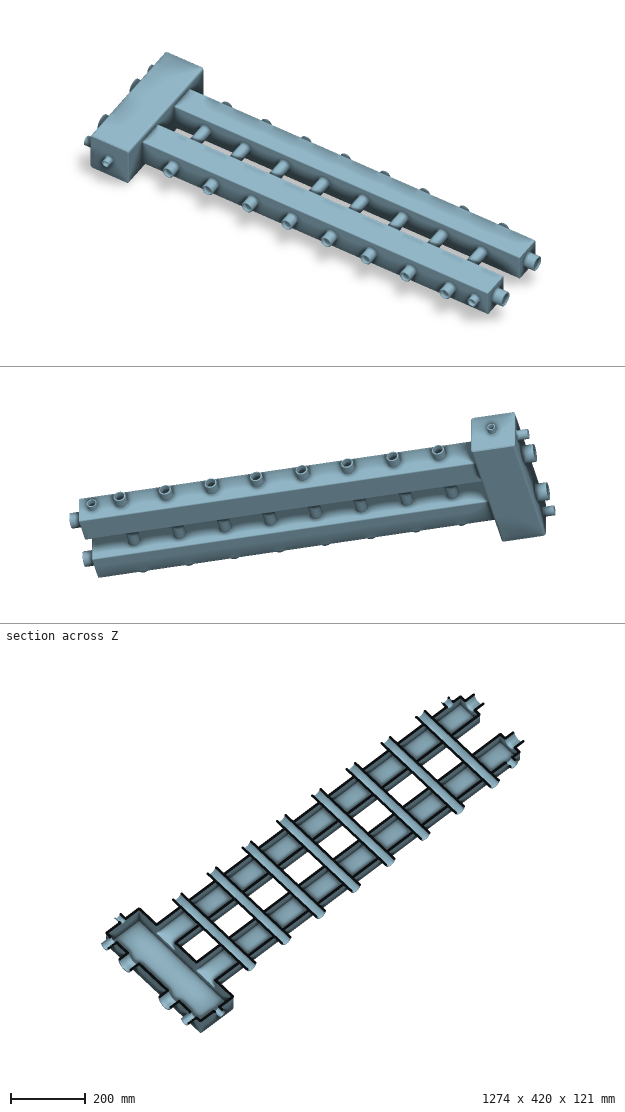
import cadquery as cq

TOTAL_LENGTH = 1274.0
TOTAL_WIDTH = 420.0

BOX_SIZE = 121.0
BOX_LENGTH = 381.0
BOX_EDGE_RADIUS = 8.0
BOX_END_BEVEL = 3.0
BOX_WALL = 4.0

BAR_SIZE = 80.0
BAR_SPACING = 160.0
BAR_EDGE_RADIUS = 4.0
BAR_END_BEVEL = 1.0
BAR_WALL = 4.0

WELD_LEG = 3.0

TIP_BEVEL = 1.0

PIPE_COUNT = 8
PIPE_PITCH = 125.0
PIPE_OD = 33.0
PIPE_ID = 27.0
PIPE_STUB = 30.0
FIRST_PIPE_OFFSET = 100.0

MAIN_OD = 48.0
MAIN_ID = 42.0
MAIN_STUB = 30.0
TAP_OD = 27.0
TAP_ID = 22.0
BOX_TAP_SPACING = 321.0
END_OD = 42.0
END_ID = 36.0
END_STUB = 30.0
BAR_TAP_STUB = 19.0
BAR_TAP_INSET = 40.0
VENT_OD = 22.0
VENT_ID = 17.0
VENT_STUB = (TOTAL_WIDTH - BOX_LENGTH) / 2

BOX_LEFT = -TOTAL_LENGTH / 2 + MAIN_STUB
BOX_CENTER = BOX_LEFT + BOX_SIZE / 2
BOX_RIGHT = BOX_LEFT + BOX_SIZE
BAR_END = TOTAL_LENGTH / 2 - END_STUB
BAR_CENTERS = (-BAR_SPACING / 2, BAR_SPACING / 2)
BAR_OUTER_Y = (BAR_SPACING + BAR_SIZE) / 2
BAR_INNER_Y = (BAR_SPACING - BAR_SIZE) / 2
BAR_TAP_X = BAR_END - BAR_TAP_INSET
PIPE_XS = [BOX_RIGHT + FIRST_PIPE_OFFSET + i * PIPE_PITCH for i in range(PIPE_COUNT)]


def rod(start, direction, diameter, length):
    """Solid cylinder from a start point along a direction."""
    return cq.Workplane(
        cq.Solid.makeCylinder(diameter / 2, length, cq.Vector(*start), cq.Vector(*direction))
    )


def weld(foot, direction, diameter):
    """Conical weld bead around a stub of the given diameter, standing on a wall."""
    radius = diameter / 2
    return cq.Workplane(
        cq.Solid.makeCone(radius + WELD_LEG, radius, WELD_LEG, cq.Vector(*foot), cq.Vector(*direction))
    )


def header_box():
    box = cq.Workplane("XY").box(BOX_SIZE, BOX_LENGTH, BOX_SIZE)
    box = box.edges("|Y").fillet(BOX_EDGE_RADIUS)
    box = box.faces("<Y or >Y").edges().chamfer(BOX_END_BEVEL)
    return box.translate((BOX_CENTER, 0, 0))


def header_cavity():
    inner = BOX_SIZE - 2 * BOX_WALL
    return cq.Workplane("XY").box(inner, BOX_LENGTH - 2 * BOX_WALL, inner).translate((BOX_CENTER, 0, 0))


def collector_bar(y):
    length = BAR_END - BOX_RIGHT + BOX_WALL
    bar = cq.Workplane("XY").box(length, BAR_SIZE, BAR_SIZE)
    bar = bar.edges("|X").fillet(BAR_EDGE_RADIUS)
    bar = bar.faces(">X").edges().chamfer(BAR_END_BEVEL)
    return bar.translate((BAR_END - length / 2, y, 0))


def collector_cavity(y):
    start = BOX_RIGHT - 2 * BOX_WALL
    length = BAR_END - BAR_WALL - start
    inner = BAR_SIZE - 2 * BAR_WALL
    return cq.Workplane("XY").box(length, inner, inner).translate((start + length / 2, y, 0))


def add_stub(body, foot, direction, outer, bore, length, wall, tip_bevel=0):
    """Weld a pipe stub onto a wall and bore it through that wall."""
    root = tuple(p - wall * d for p, d in zip(foot, direction))
    behind_wall = tuple(p - 2 * wall * d for p, d in zip(foot, direction))
    stub = rod(root, direction, outer, length + wall)
    if tip_bevel:
        tip = cq.DirectionMinMaxSelector(cq.Vector(*direction), True)
        stub = stub.faces(tip).edges().chamfer(tip_bevel)
    body = body.union(stub).union(weld(foot, direction, outer))
    return body.cut(rod(behind_wall, direction, bore, length + 2 * wall))


def add_cross_pipe(body, x):
    """Run an open pipe through both bars and weld it wherever it leaves a bar."""
    length = 2 * (BAR_OUTER_Y + PIPE_STUB)
    start = (x, -length / 2, 0)
    along = (0, 1, 0)
    pipe = rod(start, along, PIPE_OD, length)
    body = body.union(pipe.faces("<Y or >Y").edges().chamfer(TIP_BEVEL))
    for side in (-1, 1):
        body = body.union(weld((x, side * BAR_OUTER_Y, 0), (0, side, 0), PIPE_OD))
        body = body.union(weld((x, side * BAR_INNER_Y, 0), (0, -side, 0), PIPE_OD))
    return body.cut(rod(start, along, PIPE_ID, length))


manifold = header_box()
for bar_y in BAR_CENTERS:
    manifold = manifold.union(collector_bar(bar_y))
manifold = manifold.cut(header_cavity())
for bar_y in BAR_CENTERS:
    manifold = manifold.cut(collector_cavity(bar_y))

left = (-1, 0, 0)
right = (1, 0, 0)
for side in (-1, 1):
    outward = (0, side, 0)
    bar_y = side * BAR_SPACING / 2
    main_foot = (BOX_LEFT, bar_y, 0)
    box_tap_foot = (BOX_LEFT, side * BOX_TAP_SPACING / 2, 0)
    vent_foot = (BOX_CENTER, side * BOX_LENGTH / 2, 0)
    end_foot = (BAR_END, bar_y, 0)
    bar_tap_foot = (BAR_TAP_X, side * BAR_OUTER_Y, 0)
    manifold = add_stub(manifold, main_foot, left, MAIN_OD, MAIN_ID, MAIN_STUB, BOX_WALL)
    manifold = add_stub(manifold, box_tap_foot, left, TAP_OD, TAP_ID, MAIN_STUB, BOX_WALL)
    manifold = add_stub(manifold, vent_foot, outward, VENT_OD, VENT_ID, VENT_STUB, BOX_WALL)
    manifold = add_stub(manifold, end_foot, right, END_OD, END_ID, END_STUB, BAR_WALL, TIP_BEVEL)
    manifold = add_stub(manifold, bar_tap_foot, outward, TAP_OD, TAP_ID, BAR_TAP_STUB, BAR_WALL)

for pipe_x in PIPE_XS:
    manifold = add_cross_pipe(manifold, pipe_x)

result = manifold